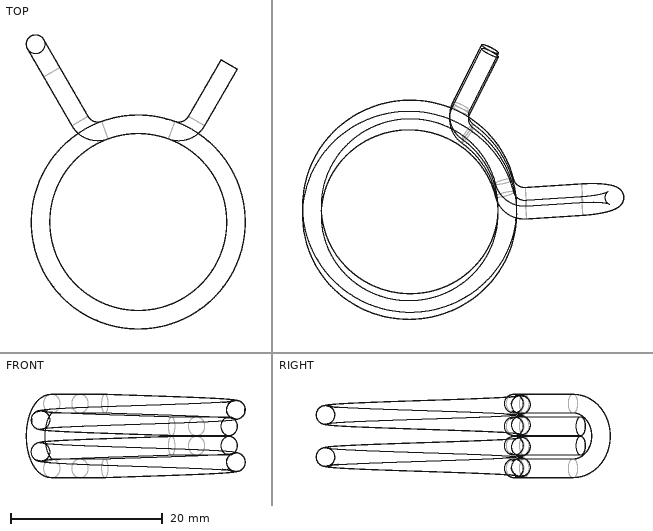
import cadquery as cq
import math


overall_depth = 38.8
wire_diameter = 2.5
coil_radius = 12.9
tang_angle_from_y = 30.0
bend_radius = 2.7
loop_radius = 4.25
open_tang_height = 1.28
open_tang_reach = 23.98

wire_radius = wire_diameter / 2
coil_outer_radius = coil_radius + wire_radius

loop_tang_angle = 90 + tang_angle_from_y
open_tang_angle = 90 - tang_angle_from_y

loop_tip_reach = (overall_depth - coil_outer_radius - wire_radius) / math.cos(math.radians(tang_angle_from_y))
loop_center_reach = loop_tip_reach - loop_radius

bend_center_reach = coil_radius + bend_radius
bend_half_angle = math.degrees(math.asin(bend_radius / bend_center_reach))
bend_start_reach = bend_center_reach * math.cos(math.radians(bend_half_angle))

coil_start_angle = open_tang_angle + bend_half_angle
coil_end_angle = loop_tang_angle - bend_half_angle
coil_sweep_angle = 360 + coil_end_angle - coil_start_angle
coil_rise = loop_radius - open_tang_height
coil_pitch = coil_rise * 360 / coil_sweep_angle


def polar(reach, angle):
    """XY point at a distance from the coil axis and an angle in degrees."""
    return (reach * math.cos(math.radians(angle)), reach * math.sin(math.radians(angle)))


def wire_section(origin, direction):
    """Round wire section at a point, facing the given direction."""
    return cq.Workplane(cq.Plane(origin=origin, normal=direction)).circle(wire_radius)


def make_tang(angle, reach, coil_join_angle, height):
    """Straight radial tang with the bend that joins it to the coil."""
    path = (
        cq.Workplane("XY", origin=(0, 0, height))
        .moveTo(*polar(reach, angle))
        .lineTo(*polar(bend_start_reach, angle))
        .tangentArcPoint(polar(coil_radius, coil_join_angle), relative=False)
    )
    section = wire_section((*polar(reach, angle), height), (*polar(1, angle), 0))
    return section.sweep(path)


def make_coil():
    """Upper coil, rising counterclockwise from the open tang to the loop tang."""
    helix = cq.Wire.makeHelix(coil_pitch, coil_rise, coil_radius)
    coil = wire_section((coil_radius, 0, 0), (0, 1, 0)).sweep(cq.Workplane(helix), isFrenet=True)
    return coil.rotate((0, 0, 0), (0, 0, 1), coil_start_angle).translate((0, 0, open_tang_height))


def make_loop():
    """Upright half ring that joins the upper and lower loop tang wires."""
    outward_x, outward_y = polar(1, loop_tang_angle)
    center = (*polar(loop_center_reach, loop_tang_angle), 0)
    upright_plane = cq.Plane(
        origin=center,
        xDir=(outward_x, outward_y, 0),
        normal=(outward_y, -outward_x, 0),
    )
    path = (
        cq.Workplane(upright_plane)
        .moveTo(0, -loop_radius)
        .threePointArc((loop_radius, 0), (0, loop_radius))
    )
    section = wire_section((center[0], center[1], -loop_radius), (outward_x, outward_y, 0))
    return section.sweep(path)


upper_half = (
    make_coil()
    .union(make_tang(open_tang_angle, open_tang_reach, coil_start_angle, open_tang_height))
    .union(make_tang(loop_tang_angle, loop_center_reach, coil_end_angle, loop_radius))
)
lower_half = upper_half.mirror("XY")

result = make_loop().union(upper_half).union(lower_half)